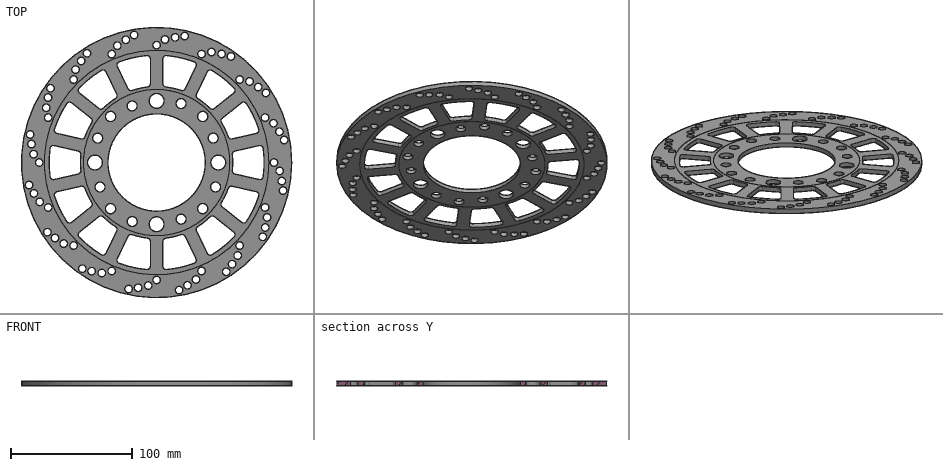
import cadquery as cq
import math

disc_diameter = 222.8
thickness = 4.0
bore_diameter = 80.0

friction_ring_inner_diameter = 185.0
hub_ring_diameter = 120.5
face_step = 0.1

window_count = 14
window_inner_radius = 62.8
window_outer_radius = 88.5
spoke_width = 10.5
window_corner_radius = 2.7

quarter_turns = 4
dowel_diameter = 12.0
bolt_diameter = 8.0
diagonal_bolt_diameter = 8.2
dowel_places = [(50.8, 0.0)]
bolt_places = [(50.8, 23.4), (52.5, 67.5)]
diagonal_bolt_places = [(53.7, 45.0)]

row_count = 16
drill_diameter = 6.0
drill_places = [(96.7, 0.0), (101.5, -3.9), (104.3, -8.4), (106.7, -12.5)]


def polar(radius, degrees):
    angle = math.radians(degrees)
    return (radius * math.cos(angle), radius * math.sin(angle))


def polar_copies(places, count):
    """Repeat (radius, angle) places evenly around the axis."""
    step = 360.0 / count
    return [polar(radius, angle + i * step) for i in range(count) for radius, angle in places]


def through_holes(places, count, diameter):
    return (
        cq.Workplane("XY")
        .pushPoints(polar_copies(places, count))
        .circle(diameter / 2)
        .extrude(thickness)
    )


def ring(outer_diameter, inner_diameter, height):
    return cq.Workplane("XY").circle(outer_diameter / 2).circle(inner_diameter / 2).extrude(height)


def window():
    """One opening centred on +X, its sides leaving spokes of constant width."""
    half_pitch = math.radians(180.0 / window_count)

    def corner_angle(radius):
        return math.degrees(half_pitch - math.asin(spoke_width / 2 / radius))

    inner = corner_angle(window_inner_radius)
    outer = corner_angle(window_outer_radius)
    return (
        cq.Workplane("XY")
        .moveTo(*polar(window_inner_radius, -inner))
        .lineTo(*polar(window_outer_radius, -outer))
        .threePointArc((window_outer_radius, 0), polar(window_outer_radius, outer))
        .lineTo(*polar(window_inner_radius, inner))
        .threePointArc((window_inner_radius, 0), polar(window_inner_radius, -inner))
        .close()
        .extrude(thickness)
        .edges("|Z")
        .fillet(window_corner_radius)
    )


disc = ring(disc_diameter, bore_diameter, thickness)

spoke_drop = face_step
hub_drop = 2 * face_step
for area_diameter, drop in [(friction_ring_inner_diameter, spoke_drop), (hub_ring_diameter, hub_drop)]:
    relief = ring(area_diameter, bore_diameter, drop)
    disc = disc.cut(relief)
    disc = disc.cut(relief.translate((0, 0, thickness - drop)))

opening = window()
for i in range(window_count):
    turn = i * 360.0 / window_count
    disc = disc.cut(opening.rotate((0, 0, 0), (0, 0, 1), turn))

disc = disc.cut(through_holes(dowel_places, quarter_turns, dowel_diameter))
disc = disc.cut(through_holes(bolt_places, quarter_turns, bolt_diameter))
disc = disc.cut(through_holes(diagonal_bolt_places, quarter_turns, diagonal_bolt_diameter))
disc = disc.cut(through_holes(drill_places, row_count, drill_diameter))

result = disc